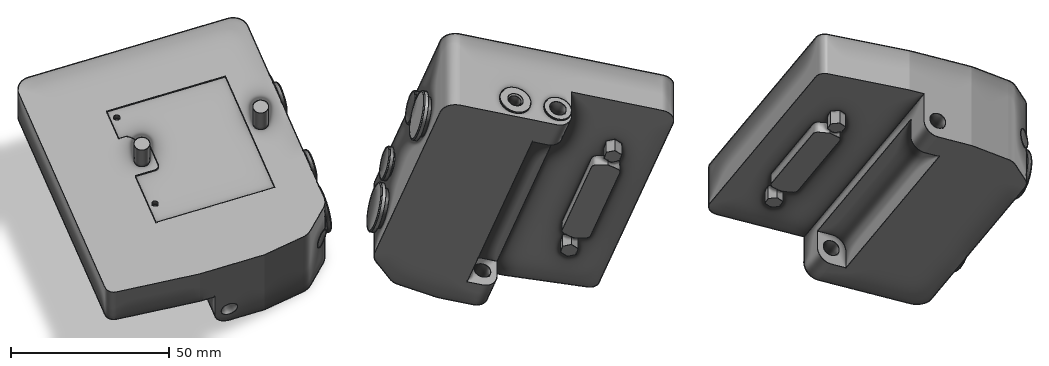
import cadquery as cq
import math


body_length = 90.1
body_width = 77.0
body_height = 30.0
plate_bottom = 15.0
step_y = 35.1
corner_radius = 5.0
front_right_radius = 3.0

taper_front_y = 30.1
taper_rear_y = 51.7
front_right_x = 87.5
rear_right_x = 87.5
rear_chamfer = 9.7
rear_right_radius = 6.0

hinge_y = 39.9
hinge_z = 6.1
hinge_diameter = 5.5
recess_radius = 5.1
recess_left = 10.0
recess_right = 80.2

collar_height = 1.0
collar_neck_height = 0.4
collar_neck_inset = 0.4
hinge_collar_diameter = 9.0
port_collar_diameter = 10.2
port_y = 53.9
port_diameter = 5.0
port_core_diameter = 4.0
port_depth = 5.5
port_countersink = (port_diameter - port_core_diameter) / 2

pin_diameter = 5.0
pin_height = 9.0
pin_positions = [(42.45, 27.8), (41.7, 68.0)]

tray_left = 20.8
tray_right = 66.6
tray_front = 23.8
tray_rear = 63.7
tray_depth = 0.5
notch_left = 32.1
notch_right = 47.4
notch_rear = 32.1
notch_chamfer = 5.6
notch_radius = 1.7
tray_hole_diameter = 2.0
tray_hole_depth = 2.0
tray_hole_positions = [(23.9, 26.1), (59.3, 26.1)]

knob_mid_x = 43.6
knob_head_thickness = 1.55
knob_edge_chamfer = 0.4
large_knob_offset = 23.0
large_knob_z = 11.1
large_knob_head = 16.0
large_knob_stem = 12.9
large_knob_reach = 3.0
small_knob_offset = 13.9
small_knob_z = 22.1
small_knob_head = 11.0
small_knob_stem = 8.0
small_knob_reach = 2.4

button_diameter = 6.2
button_height = 0.14
button_x = 80.35
button_z = body_height / 2

foot_mid_x = 43.9
foot_y = 15.1
foot_offset = 23.5
foot_diameter = 5.8
foot_height = 4.8
foot_angle = -4.3
bar_mid_x = 44.1
bar_length = 36.6
bar_width = 9.4
bar_point_length = 1.4
bar_corner_radius = 1.8
bar_height = 3.8

overlap = 0.5


def housing():
    outline = [
        (0, 0),
        (front_right_x, 0),
        (body_length, taper_front_y),
        (body_length, taper_rear_y),
        (rear_right_x, body_width - rear_chamfer),
        (rear_right_x - rear_chamfer, body_width),
        (0, body_width),
    ]
    solid = cq.Workplane("XY").polyline(outline).close().extrude(body_height)
    solid = solid.edges("|Z and <X").fillet(corner_radius)
    solid = solid.edges("|Z and >Y").edges(">X").fillet(rear_right_radius)
    rear_right = cq.selectors.NearestToPointSelector(
        (rear_right_x, body_width - rear_chamfer, body_height / 2)
    )
    solid = solid.edges(rear_right).fillet(rear_right_radius)
    solid = solid.edges("|Z and <Y").edges(">X").fillet(front_right_radius)
    return solid


def box(x_range, y_range, z_range):
    size = [high - low for low, high in (x_range, y_range, z_range)]
    corner = (x_range[0], y_range[0], z_range[0])
    return cq.Workplane("XY").box(*size, centered=False).translate(corner)


def cylinder(diameter, length, start, direction):
    return cq.Workplane(cq.Solid.makeCylinder(
        diameter / 2, length, cq.Vector(*start), cq.Vector(*direction)
    ))


def cut_step(solid):
    step = box((0, body_length), (0, step_y), (0, plate_bottom))
    solid = solid.cut(step)
    return solid.edges(
        cq.selectors.NearestToPointSelector((body_length / 2, step_y, 0))
    ).fillet(corner_radius)


def hinge_recess():
    span = (recess_left, recess_right)
    round_part = cylinder(
        2 * recess_radius, recess_right - recess_left, (recess_left, hinge_y, hinge_z), (1, 0, 0)
    )
    lower_part = box(span, (0, hinge_y + recess_radius), (0, hinge_z))
    front_part = box(span, (0, hinge_y), (0, hinge_z + recess_radius))
    return round_part.union(lower_part).union(front_part)


def collar(diameter, y):
    neck_length = collar_neck_height + overlap
    neck = cylinder(diameter - 2 * collar_neck_inset, neck_length, (overlap, y, hinge_z), (-1, 0, 0))
    rim = cylinder(
        diameter, collar_height - collar_neck_height, (-collar_neck_height, y, hinge_z), (-1, 0, 0)
    )
    return neck.union(rim)


def port_hole():
    mouth = (-collar_height, port_y, hinge_z)
    core = cylinder(port_core_diameter, port_depth, mouth, (1, 0, 0))
    countersink = cq.Workplane(cq.Solid.makeCone(
        port_diameter / 2, port_core_diameter / 2, port_countersink,
        cq.Vector(*mouth), cq.Vector(1, 0, 0),
    ))
    return core.union(countersink)


def tray():
    floor_z = body_height - tray_depth
    pocket = box((tray_left, tray_right), (tray_front, tray_rear), (floor_z, body_height))
    notch = box((notch_left, notch_right), (tray_front, notch_rear), (floor_z, body_height))
    notch = notch.edges("|Z and >Y and <X").chamfer(notch_chamfer)
    notch = notch.edges("|Z and >Y").fillet(notch_radius)
    pocket = pocket.cut(notch)
    for x, y in tray_hole_positions:
        pocket = pocket.union(cylinder(tray_hole_diameter, tray_hole_depth, (x, y, floor_z), (0, 0, -1)))
    return pocket


def knob(x, z, head_diameter, stem_diameter, reach):
    stem = cylinder(stem_diameter, reach + overlap, (x, body_width - overlap, z), (0, 1, 0))
    head_start = (x, body_width + reach - knob_head_thickness, z)
    head = cylinder(head_diameter, knob_head_thickness, head_start, (0, 1, 0))
    return stem.union(head.faces(">Y").chamfer(knob_edge_chamfer))


def button():
    chamfer_y = body_width - (button_x - (rear_right_x - rear_chamfer))
    inset = overlap / math.sqrt(2)
    start = (button_x - inset, chamfer_y - inset, button_z)
    return cylinder(button_diameter, button_height + overlap, start, (1, 1, 0))


def hex_foot(x):
    foot = cq.Workplane("XY").polygon(6, foot_diameter).extrude(foot_height + overlap)
    foot = foot.rotate((0, 0, 0), (0, 0, 1), foot_angle)
    return foot.translate((x, foot_y, plate_bottom - foot_height))


def bar():
    tip_x = bar_length / 2
    shoulder_x = tip_x - bar_point_length
    half_width = bar_width / 2
    outline = [
        (-tip_x, 0),
        (-shoulder_x, -half_width),
        (shoulder_x, -half_width),
        (tip_x, 0),
        (shoulder_x, half_width),
        (-shoulder_x, half_width),
    ]
    solid = cq.Workplane("XY").polyline(outline).close().extrude(bar_height + overlap)
    solid = solid.edges("|Z and (<Y or >Y)").fillet(bar_corner_radius)
    return solid.translate((bar_mid_x, foot_y, plate_bottom - bar_height))


result = cut_step(housing())
result = result.cut(hinge_recess())
result = result.union(collar(hinge_collar_diameter, hinge_y))
result = result.union(collar(port_collar_diameter, port_y))
result = result.cut(
    cylinder(hinge_diameter, body_length + collar_height, (-collar_height, hinge_y, hinge_z), (1, 0, 0))
)
result = result.cut(port_hole())
result = result.cut(tray())

for pin_x, pin_y in pin_positions:
    pin_base = (pin_x, pin_y, body_height - overlap)
    result = result.union(cylinder(pin_diameter, pin_height + overlap, pin_base, (0, 0, 1)))

for side in (-1, 1):
    large_x = knob_mid_x + side * large_knob_offset
    small_x = knob_mid_x + side * small_knob_offset
    result = result.union(knob(large_x, large_knob_z, large_knob_head, large_knob_stem, large_knob_reach))
    result = result.union(knob(small_x, small_knob_z, small_knob_head, small_knob_stem, small_knob_reach))

    result = result.union(hex_foot(foot_mid_x + side * foot_offset))

result = result.union(bar())
result = result.union(button())